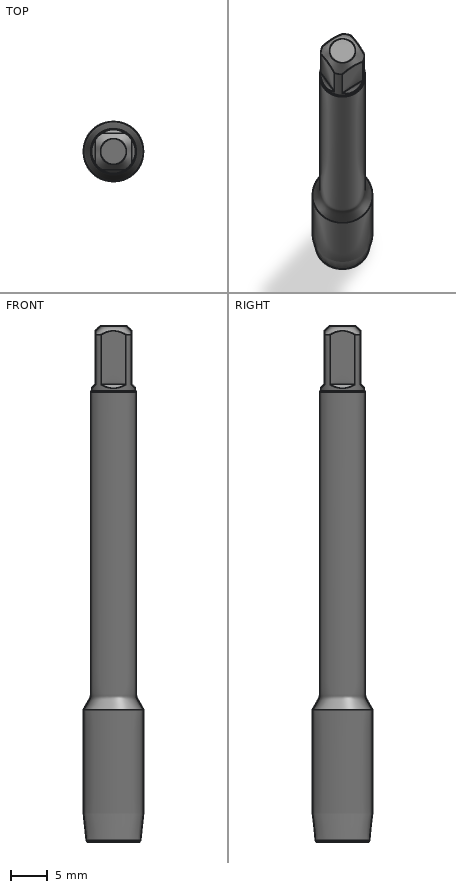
import cadquery as cq
import math

overall_length = 70.1

head_diameter = 8.17
tip_edge_diameter = 7.4
tip_diameter = 7.0
tip_bevel_height = 0.3
lead_in_top = 3.9
head_length = 18.0

shank_diameter = 6.2
shoulder_angle = 30
shoulder_fillet_radius = 1.35
shank_top = 61.1
shank_bevel_height = 0.2
drive_diameter = 5.95
top_diameter = 3.5
top_bevel_height = 1.2

across_flats = 4.9
flats_count = 4
flats_bottom = 62.15


def revolve_profile(points):
    """Solid of revolution about Z from (radius, height) points."""
    return cq.Workplane("XZ").polyline(points).close().revolve(360, (0, 0), (0, 1))


def make_cutting_head():
    """Cylindrical head with a tapered lead-in and a small bevel at the tip."""
    return revolve_profile([
        (0, 0),
        (tip_diameter / 2, 0),
        (tip_edge_diameter / 2, tip_bevel_height),
        (head_diameter / 2, lead_in_top),
        (head_diameter / 2, head_length),
        (0, head_length),
    ])


def make_flat_cutters():
    """Four blocks that leave the square, each with a 45 degree run-out at its lower end."""
    flat_radius = across_flats / 2
    clearance = shank_diameter
    above_top = overall_length + clearance
    cutter = (
        cq.Workplane("XZ")
        .polyline([
            (flat_radius, flats_bottom),
            (flat_radius + clearance, flats_bottom - clearance),
            (flat_radius + clearance, above_top),
            (flat_radius, above_top),
        ])
        .close()
        .extrude(shank_diameter, both=True)
    )
    return [cutter.rotate((0, 0, 0), (0, 0, 1), i * 360 / flats_count) for i in range(flats_count)]


def make_shank():
    """Shank with a filleted conical shoulder on the head and a square drive end."""
    head_radius = head_diameter / 2
    shank_radius = shank_diameter / 2
    drive_radius = drive_diameter / 2
    angle = math.radians(shoulder_angle)

    fillet_center_radius = shank_radius + shoulder_fillet_radius
    fillet_foot_radius = fillet_center_radius - shoulder_fillet_radius * math.cos(angle)
    fillet_foot_height = head_length + (head_radius - fillet_foot_radius) / math.tan(angle)
    fillet_top_height = fillet_foot_height + shoulder_fillet_radius * math.sin(angle)
    fillet_middle = (
        fillet_center_radius - shoulder_fillet_radius * math.cos(angle / 2),
        fillet_top_height - shoulder_fillet_radius * math.sin(angle / 2),
    )

    shank = (
        cq.Workplane("XZ")
        .moveTo(0, head_length)
        .lineTo(head_radius, head_length)
        .lineTo(fillet_foot_radius, fillet_foot_height)
        .threePointArc(fillet_middle, (shank_radius, fillet_top_height))
        .lineTo(shank_radius, shank_top)
        .lineTo(drive_radius, shank_top + shank_bevel_height)
        .lineTo(drive_radius, overall_length - top_bevel_height)
        .lineTo(top_diameter / 2, overall_length)
        .lineTo(0, overall_length)
        .close()
        .revolve(360, (0, 0), (0, 1))
    )
    for cutter in make_flat_cutters():
        shank = shank.cut(cutter)
    return shank


cutting_head = make_cutting_head()
shank = make_shank()

result = cq.Compound.makeCompound([cutting_head.val(), shank.val()])